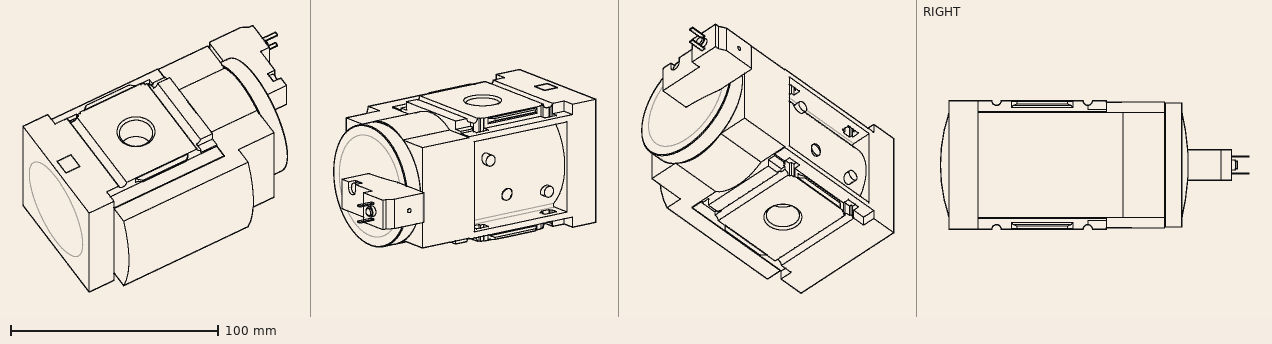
import cadquery as cq
import math


half_size = 31.0
front_y = -45.0
deck_half_length = 31.0
floor_z = 25.8
block_half_width = 24.2

rear_y = 59.0
slab_half_height = 25.3
lobe_half_width = 15.1
lobe_top_z = 30.4
cap_diameter = 60.0
cap_end_y = 67.5
cap_chamfer = 0.4

dome_diameter = 50.0
front_dome_rise = 4.1
rear_dome_rise = 2.9

cover_y_min, cover_y_max = -31.0, 39.0
cover_edge_x = 40.0
cover_crown_x = 45.0

port_diameter = 16.0
port_depth = 14.0
port_chamfer = 1.15

groove_radius = 2.2
groove_y = 22.0
corner_pocket_x = 20.0
corner_pocket_z = 26.8
slot_y = 20.5
slot_width, slot_x_outer, slot_x_inner = 7.1, -27.5, -23.6
neck_y, neck_width, neck_x_inner = 20.85, 4.3, -22.5
left_lip_tip, right_lip_tip = 26.5, 26.9
lip_top_z, lip_tip_bottom_z = 30.5, 29.4
lip_root_x, lip_root_z = 24.9, 28.6
lip_bottom_z = 27.7
lip_base_half_length, lip_tip_half_length = 14.8, 12.2

label_y = -38.0
label_width, label_height, label_depth = 8.3, 7.8, 0.2

window_half_length = 27.8
window_half_height = 22.7
window_fillet = 1.0
barrel_radius = 29.0
pin_diameter = 5.5
pin_tip_x, pin_root_x = -30.0, -20.0
pin_places = [(17.4, 11.0), (-17.6, -10.9)]
button_diameter = 6.0
button_face_x = -27.7
button_y, button_z = 5.9, -8.5

pilot_left_x, pilot_right_x = -44.45, -2.6
pilot_bottom_y, pilot_step_y, pilot_top_y = 67.8, 86.3, 91.3
pilot_step_x = -26.9
pilot_half_height = 7.4
pilot_bevel_x, pilot_bevel_bottom_y, pilot_bevel_top_y = 1.9, 85.7, 89.3
pilot_corner_radius = 0.8
pilot_hole_diameter, pilot_hole_depth, pilot_hole_y = 2.0, 3.0, 76.8
plug_x = -34.4
plug_diameter, plug_length = 5.0, 1.85
stud_diameter, stud_length = 3.8, 2.8
blade_width, blade_thickness, blade_end_y, blade_z = 2.01, 0.6, 99.8, 4.05
screw_diameter, screw_x, screw_z = 5.5, -10.75, 4.4
screw_pocket_y, screw_top_y = 82.2, 84.6


def box(x_min, x_max, y_min, y_max, z_min, z_max):
    size = (x_max - x_min, y_max - y_min, z_max - z_min)
    return cq.Workplane("XY").box(*size, centered=False).translate((x_min, y_min, z_min))


def cylinder_y(x, z, diameter, y_min, y_max):
    """Round bar along Y."""
    plane = cq.Workplane("XZ", origin=(x, y_min, z))
    return plane.circle(diameter / 2).extrude(y_min - y_max)


def cylinder_x(y, z, diameter, x_min, x_max):
    """Round bar along X."""
    plane = cq.Workplane("YZ", origin=(x_min, y, z))
    return plane.circle(diameter / 2).extrude(x_max - x_min)


def both_z(shape):
    """The shape together with its mirror image below the XY plane."""
    return shape.union(shape.mirror("XY"))


def dome(base_y, rise):
    """Spherical cap on a flat face; a negative rise bulges toward -Y."""
    radius = dome_diameter / 2
    sphere_radius = (radius**2 + rise**2) / (2 * abs(rise))
    half_angle = math.asin(radius / sphere_radius) / 2
    mid_x = sphere_radius * math.sin(half_angle)
    mid_drop = math.copysign(sphere_radius * (1 - math.cos(half_angle)), rise)
    apex_y = base_y + rise
    profile = (
        cq.Workplane("XY")
        .moveTo(0, base_y)
        .lineTo(radius, base_y)
        .threePointArc((mid_x, apex_y - mid_drop), (0, apex_y))
        .close()
    )
    return profile.revolve(360, (0, 0, 0), (0, 1, 0))


def main_body():
    front = box(-half_size, half_size, front_y, -deck_half_length, -half_size, half_size)
    core = box(-half_size, half_size, -deck_half_length, deck_half_length, -floor_z, floor_z)
    blocks = box(-block_half_width, block_half_width,
                 -deck_half_length, deck_half_length, -half_size, half_size)
    return front.union(core).union(blocks)


def rear_section():
    outline = (
        cq.Workplane("XZ", origin=(0, deck_half_length, 0))
        .moveTo(-half_size, -slab_half_height)
        .lineTo(-lobe_half_width, -slab_half_height)
        .threePointArc((0, -lobe_top_z), (lobe_half_width, -slab_half_height))
        .lineTo(half_size, -slab_half_height)
        .lineTo(half_size, slab_half_height)
        .lineTo(lobe_half_width, slab_half_height)
        .threePointArc((0, lobe_top_z), (-lobe_half_width, slab_half_height))
        .lineTo(-half_size, slab_half_height)
        .close()
    )
    cap = cylinder_y(0, 0, cap_diameter, rear_y, cap_end_y).edges().chamfer(cap_chamfer)
    return outline.extrude(deck_half_length - rear_y).union(cap)


def side_cover():
    return (
        cq.Workplane("XZ", origin=(0, cover_y_min, 0))
        .moveTo(half_size, -slab_half_height)
        .lineTo(cover_edge_x, -slab_half_height)
        .threePointArc((cover_crown_x, 0), (cover_edge_x, slab_half_height))
        .lineTo(half_size, slab_half_height)
        .close()
        .extrude(cover_y_min - cover_y_max)
    )


def ports():
    """Threaded port openings in the upper and lower blocks."""
    bore = cq.Workplane("XY", origin=(0, 0, half_size)).circle(port_diameter / 2).extrude(-port_depth)
    countersink = (
        cq.Workplane("XY", origin=(0, 0, half_size))
        .circle(port_diameter / 2 + port_chamfer)
        .workplane(offset=-port_chamfer)
        .circle(port_diameter / 2)
        .loft()
    )
    return both_z(bore.union(countersink))


def clamp_cuts():
    """Round cross grooves, corner pockets and T-shaped slots of the port blocks."""
    cuts = cq.Workplane("XY")
    for side in (-1, 1):
        groove = cylinder_x(side * groove_y, half_size, 2 * groove_radius,
                            -block_half_width, block_half_width)
        wide_y = side * slot_y
        slot = box(slot_x_outer, slot_x_inner, wide_y - slot_width / 2, wide_y + slot_width / 2,
                   window_half_height, half_size)
        narrow_y = side * neck_y
        neck = box(slot_x_inner, neck_x_inner, narrow_y - neck_width / 2, narrow_y + neck_width / 2,
                   window_half_height, half_size)
        x_min, x_max = sorted((side * corner_pocket_x, side * block_half_width))
        pocket = box(x_min, x_max, groove_y, deck_half_length, corner_pocket_z, half_size)
        cuts = cuts.add(both_z(groove.union(slot).union(neck).union(pocket)))
    return cuts.combine()


def clamp_lip(tip_x):
    """Tapered lip on the +X side of the upper port block."""
    section = [
        (block_half_width, lip_top_z),
        (tip_x, lip_top_z),
        (tip_x, lip_tip_bottom_z),
        (lip_root_x, lip_root_z),
        (block_half_width, lip_bottom_z),
    ]
    bar = (
        cq.Workplane("XZ", origin=(0, lip_base_half_length, 0))
        .polyline(section).close()
        .extrude(2 * lip_base_half_length)
    )
    plan = [
        (block_half_width, -lip_base_half_length),
        (tip_x, -lip_tip_half_length),
        (tip_x, lip_tip_half_length),
        (block_half_width, lip_base_half_length),
    ]
    return bar.intersect(cq.Workplane("XY").polyline(plan).close().extrude(half_size))


def clamp_lips():
    """Lips on both sides of each port block."""
    left_lip = clamp_lip(left_lip_tip).mirror("YZ")
    return both_z(left_lip.union(clamp_lip(right_lip_tip)))


def label_recess():
    return box(-label_width / 2, label_width / 2, label_y - label_height / 2,
               label_y + label_height / 2, half_size - label_depth, half_size)


def window():
    """Side window around the barrel, with fillets tangent to its walls and to the barrel."""
    center_z = window_half_height - window_fillet
    center_distance = barrel_radius + window_fillet
    center_x = -math.sqrt(center_distance**2 - center_z**2)
    touch_x = center_x * barrel_radius / center_distance
    touch_z = center_z * barrel_radius / center_distance
    middle_angle = (math.pi / 2 + math.atan2(-center_z, -center_x)) / 2
    middle_x = center_x + window_fillet * math.cos(middle_angle)
    middle_z = center_z + window_fillet * math.sin(middle_angle)
    outline = (
        cq.Workplane("XZ", origin=(0, -window_half_length, 0))
        .moveTo(-half_size, -window_half_height)
        .lineTo(center_x, -window_half_height)
        .threePointArc((middle_x, -middle_z), (touch_x, -touch_z))
        .threePointArc((-barrel_radius, 0), (touch_x, touch_z))
        .threePointArc((middle_x, middle_z), (center_x, window_half_height))
        .lineTo(-half_size, window_half_height)
        .close()
    )
    return outline.extrude(-2 * window_half_length)


def barrel_pins():
    pins = cylinder_x(button_y, button_z, button_diameter, button_face_x, pin_root_x)
    for y, z in pin_places:
        pins = pins.union(cylinder_x(y, z, pin_diameter, pin_tip_x, pin_root_x))
    return pins


def pilot_valve():
    outline = [
        (pilot_left_x, pilot_bottom_y),
        (pilot_right_x, pilot_bottom_y),
        (pilot_right_x, pilot_step_y),
        (pilot_step_x, pilot_step_y),
        (pilot_step_x, pilot_top_y),
        (pilot_left_x + pilot_bevel_x, pilot_top_y),
        (pilot_left_x + pilot_bevel_x, pilot_bevel_top_y),
        (pilot_left_x, pilot_bevel_bottom_y),
    ]
    pilot = (
        cq.Workplane("XY", origin=(0, 0, -pilot_half_height))
        .polyline(outline).close()
        .extrude(2 * pilot_half_height)
    )
    pilot = pilot.edges("|Z and <X and <Y").fillet(pilot_corner_radius)
    pilot = pilot.cut(cylinder_x(pilot_hole_y, 0, pilot_hole_diameter,
                                 pilot_left_x, pilot_left_x + pilot_hole_depth))
    return pilot.cut(screw_pocket()).union(connector())


def screw_pocket():
    """U-shaped pocket in the step, less the screw head seated in it."""
    radius = screw_diameter / 2
    pocket = cylinder_y(screw_x, screw_z, screw_diameter, screw_pocket_y, pilot_step_y)
    pocket = pocket.union(box(screw_x - radius, screw_x + radius, screw_pocket_y, pilot_step_y,
                              screw_z, pilot_half_height))
    return pocket.cut(cylinder_y(screw_x, screw_z, screw_diameter, screw_pocket_y, screw_top_y))


def connector():
    """Stepped stud and two contact blades on top of the pilot valve."""
    plug = cylinder_y(plug_x, 0, plug_diameter, pilot_top_y, pilot_top_y + plug_length)
    plug = plug.union(cylinder_y(plug_x, 0, stud_diameter, pilot_top_y, pilot_top_y + stud_length))
    for z in (-blade_z, blade_z):
        plug = plug.union(box(plug_x - blade_width / 2, plug_x + blade_width / 2,
                              pilot_top_y, blade_end_y,
                              z - blade_thickness / 2, z + blade_thickness / 2))
    return plug


body = main_body().union(rear_section()).union(side_cover())
body = body.cut(ports()).cut(clamp_cuts()).cut(label_recess()).union(clamp_lips())
body = body.cut(window())
body = body.cut(cylinder_x(button_y, button_z, button_diameter, -half_size, button_face_x))
body = body.union(barrel_pins())
body = body.union(dome(front_y, -front_dome_rise)).union(dome(cap_end_y, rear_dome_rise))
result = body.union(pilot_valve())